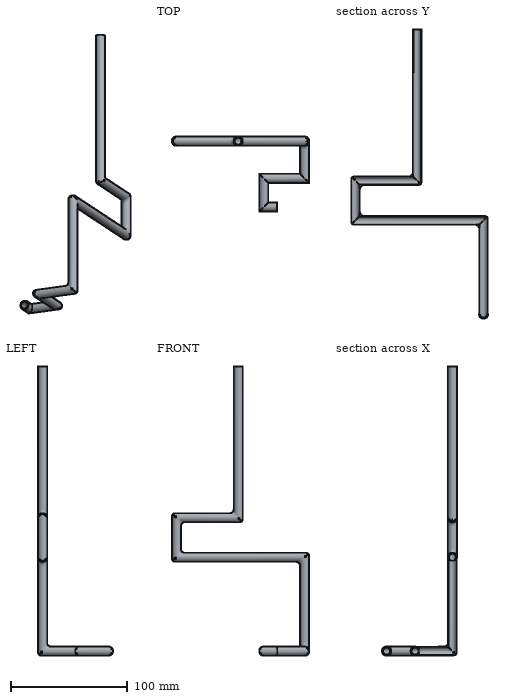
import cadquery as cq

OUTER_DIAMETER = 8.0
INNER_DIAMETER = 6.0
OUTER_RADIUS = OUTER_DIAMETER / 2

ROUNDED_BENDS = 5
BEND_FILLET = 3.0
SIDE_MARGIN = 0.02
BLEND_HALF_HEIGHT = OUTER_RADIUS - SIDE_MARGIN
BEND_REACH = OUTER_DIAMETER

WIDTH = 118.0
DEPTH = 64.5
HEIGHT = 248.5

STEM_DROP = 130.0
UPPER_RUN = 53.0
SIDE_DROP = 34.0
MAIN_RUN = WIDTH - OUTER_DIAMETER
LEG_DROP = HEIGHT - OUTER_RADIUS - STEM_DROP - SIDE_DROP
FOOT_REACH = 32.0
FOOT_RETURN = 35.0
TOE_REACH = DEPTH - OUTER_DIAMETER - FOOT_REACH
TOE_TIP = 11.5

RUNS = [
    (0, 0, -STEM_DROP),
    (-UPPER_RUN, 0, 0),
    (0, 0, -SIDE_DROP),
    (MAIN_RUN, 0, 0),
    (0, 0, -LEG_DROP),
    (0, -FOOT_REACH, 0),
    (-FOOT_RETURN, 0, 0),
    (0, -TOE_REACH, 0),
    (TOE_TIP, 0, 0),
]


def centreline():
    """Corner points of the tube axis, open ends included."""
    point = cq.Vector(0, 0, 0)
    points = [point]
    for run in RUNS:
        point = point + cq.Vector(*run)
        points.append(point)
    return points


def mitred_rod(diameter):
    """Solid round bar along the centreline with a sharp mitre at every corner."""
    path = cq.Workplane("XY").polyline([p.toTuple() for p in centreline()])
    return cq.Workplane("XY").circle(diameter / 2).sweep(path, transition="right")


def side_slivers(path_points, rod):
    """Thin slices off both sides of every rounded bend, where its mitre edge fades out."""
    slivers = []
    for bend in range(1, ROUNDED_BENDS + 1):
        before, corner, after = path_points[bend - 1:bend + 2]
        bend_normal = (before - corner).cross(after - corner).normalized()
        frame = cq.Plane(origin=corner.toTuple(), normal=bend_normal.toTuple())
        bend_zone = cq.Workplane(frame).sphere(BEND_REACH)
        blended_slab = cq.Workplane(frame).box(2 * BEND_REACH, 2 * BEND_REACH, 2 * BLEND_HALF_HEIGHT)
        slivers.append(rod.intersect(bend_zone.cut(blended_slab)))
    return slivers


def blend_bends(rod):
    """Fillet the mitre edges of the rounded bends, inside and outside the turn."""
    points = centreline()
    slivers = side_slivers(points, rod)
    trimmed = rod
    for sliver in slivers:
        trimmed = trimmed.cut(sliver)
    rounded_corners = points[1:ROUNDED_BENDS + 1]
    mitre_edges = []
    for edge in trimmed.edges().vals():
        nearest_corner = min((edge.Center() - corner).Length for corner in rounded_corners)
        if edge.geomType() == "ELLIPSE" and nearest_corner < BEND_REACH:
            mitre_edges.append(edge)
    blended = trimmed.newObject(mitre_edges).fillet(BEND_FILLET)
    for sliver in slivers:
        blended = blended.union(sliver)
    return blended


outer = blend_bends(mitred_rod(OUTER_DIAMETER))
result = outer.cut(mitred_rod(INNER_DIAMETER))